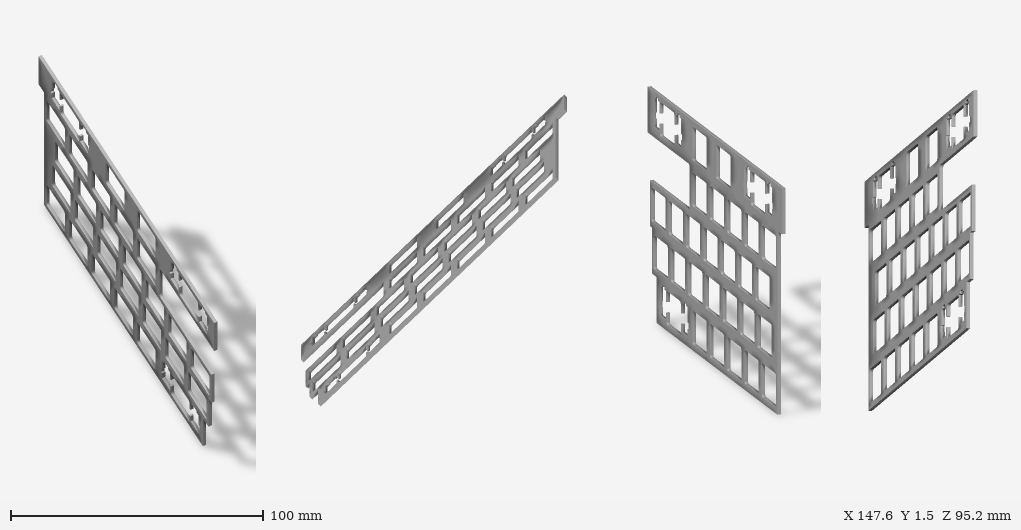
import cadquery as cq

LENGTH = 147.6
THICKNESS = 1.5
ROW_COUNT = 5
LENGTH_IN_KEYS = 7.75
PITCH = LENGTH / LENGTH_IN_KEYS
HEIGHT = ROW_COUNT * PITCH

TOP_OVERHANG = 0.25 * PITCH
TOP_RIGHT = LENGTH - TOP_OVERHANG
THIRD_RIGHT = 7.375 * PITCH
FOURTH_RIGHT = 7.25 * PITCH
BOTTOM_RIGHT = 7.0 * PITCH
NOTCH_MARGIN = 1.5
NOTCH_LEFT = 5.0 * PITCH + NOTCH_MARGIN
NOTCH_RADIUS = 1.2

SWITCH_WIDTH = 15.6
SWITCH_HEIGHT = 14.0
SWITCH_RADIUS = 1.0

SINGLE_KEYS = [
    [0.5 + i for i in range(5)],
    [0.75 + i for i in range(7)],
    [0.875 + i for i in range(7)],
    [0.5 + i for i in range(5)],
    [3.125, 4.5],
]
WIDE_KEYS = [(6.0, 0), (1.125, 4), (6.375, 4)]

STABILIZER_OFFSET = 12.0
STABILIZER_WIDTH = 6.6
STABILIZER_TOP = 6.8
STABILIZER_BOTTOM = -5.5
TAB_WIDTH = 3.2
TAB_TOP = 8.0
SIDE_NOTCH_REACH = 16.1
SIDE_NOTCH_TOP = 0.5
SIDE_NOTCH_BOTTOM = -2.2
CHANNEL_HALF_HEIGHT = 2.2


def block(left, right, bottom, top):
    """Full-thickness block spanning the given X and Z limits."""
    solid = cq.Workplane("XY").box(right - left, THICKNESS, top - bottom, centered=False)
    return solid.translate((left, 0, bottom))


def switch_opening(x, z):
    half_width = SWITCH_WIDTH / 2
    half_height = SWITCH_HEIGHT / 2
    opening = block(x - half_width, x + half_width, z - half_height, z + half_height)
    return opening.edges("|Y").fillet(SWITCH_RADIUS)


def stabilizer_opening(x, z):
    """Two stabilizer pockets with clip tabs, joined by the wire channel."""
    opening = block(
        x - STABILIZER_OFFSET,
        x + STABILIZER_OFFSET,
        z - CHANNEL_HALF_HEIGHT,
        z + CHANNEL_HALF_HEIGHT,
    )
    for side in (-1, 1):
        centre = x + side * STABILIZER_OFFSET
        reach = x + side * SIDE_NOTCH_REACH
        half_width = STABILIZER_WIDTH / 2
        half_tab = TAB_WIDTH / 2
        pocket = block(centre - half_width, centre + half_width, z + STABILIZER_BOTTOM, z + STABILIZER_TOP)
        tab = block(centre - half_tab, centre + half_tab, z, z + TAB_TOP)
        side_notch = block(
            min(centre, reach),
            max(centre, reach),
            z + SIDE_NOTCH_BOTTOM,
            z + SIDE_NOTCH_TOP,
        )
        opening = opening.union(pocket).union(tab).union(side_notch)
    return opening


def outline():
    rows = [i * PITCH for i in range(ROW_COUNT)]
    points = [
        (0, 0),
        (BOTTOM_RIGHT, 0),
        (BOTTOM_RIGHT, rows[1]),
        (FOURTH_RIGHT, rows[1]),
        (FOURTH_RIGHT, rows[2]),
        (THIRD_RIGHT, rows[2]),
        (THIRD_RIGHT, rows[3]),
        (NOTCH_LEFT, rows[3]),
        (NOTCH_LEFT, rows[4]),
        (TOP_RIGHT, rows[4]),
        (TOP_RIGHT, HEIGHT),
        (-TOP_OVERHANG, HEIGHT),
        (-TOP_OVERHANG, rows[4]),
        (0, rows[4]),
    ]
    plate = cq.Workplane("XZ").polyline(points).close().extrude(-THICKNESS)
    corners = cq.selectors.BoxSelector(
        (NOTCH_LEFT - NOTCH_RADIUS, 0, rows[3] - NOTCH_RADIUS),
        (NOTCH_LEFT + NOTCH_RADIUS, THICKNESS, rows[4] + NOTCH_RADIUS),
    )
    return plate.edges("|Y").edges(corners).fillet(NOTCH_RADIUS)


def row_centre(row):
    return (row + 0.5) * PITCH


result = outline()
for row, columns in enumerate(SINGLE_KEYS):
    for column in columns:
        result = result.cut(switch_opening(column * PITCH, row_centre(row)))
for column, row in WIDE_KEYS:
    result = result.cut(switch_opening(column * PITCH, row_centre(row)))
    result = result.cut(stabilizer_opening(column * PITCH, row_centre(row)))